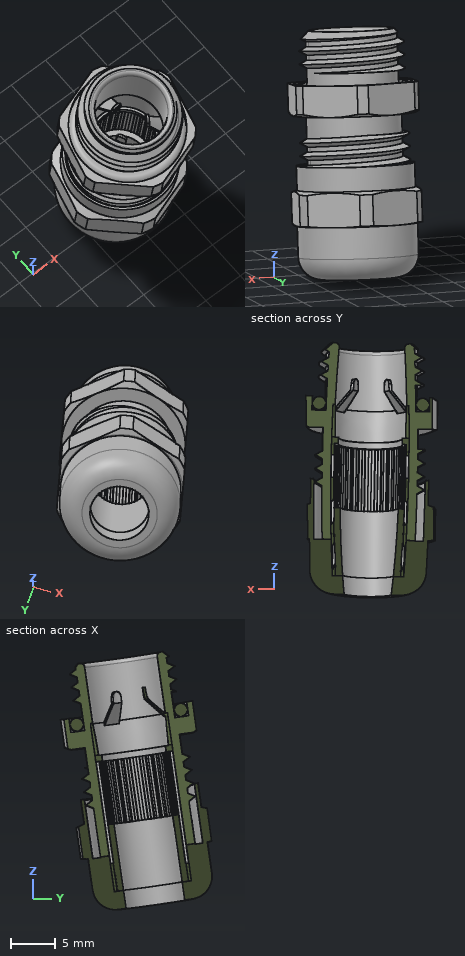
import cadquery as cq
import math

tilt_toward_front = 8.1
tilt_toward_left = 1.0

rim_top = 14.1
upper_thread_end = 9.42
hex_top = 8.1
hex_bottom = 4.53
lower_thread_end = 2.3
cap_top = -1.17
nut_top = -3.92
nut_bottom = -7.95
cap_bottom = -14.1
ring_top = 7.15
cage_top = 3.5
seal_top = -4.4
housing_bottom = -7.95
cap_floor = -12.0

across_flats = 14.0
corner_azimuth = 18.0
housing_corner_diameter = 15.5
cap_corner_diameter = 15.4
housing_chamfer_height = 0.35
cap_bottom_chamfer_height = 0.15
cap_top_chamfer_height = 0.35

upper_root_diameter = 10.38
upper_crest_diameter = 12.0
lower_root_diameter = 10.85
lower_crest_diameter = 12.5
thread_pitch = 1.5
flank_angle = 30.0
upper_thread_start = 8.9
lower_thread_start = -3.0
thread_root_overlap = 0.1
rim_diameter = 9.68
rim_rounding_diameter = 9.27
bore_diameter = 8.28
counterbore_diameter = 8.75

groove_diameter = 13.43
oring_recess = 0.05
oring_section_diameter = (groove_diameter - upper_root_diameter) / 2

cap_diameter = 13.65
cap_collar_diameter = 13.43
cap_mouth_diameter = 12.8
cap_bore_diameter = 12.55
cap_hole_diameter = 6.67
cap_rounding = 2.57

ring_bottom_bore_diameter = 7.95
finger_count = 3
finger_azimuth = 90.0
finger_thickness = 0.32
finger_bend_radius = 2.43
finger_bend_level = 9.07
finger_tip_radius = 2.3
finger_tip_level = 10.38
finger_root_width = 2.1
finger_root_height = 0.65
finger_tip_width = 1.05

cage_lip_diameter = 7.25
cage_lip_height = 0.73
cage_bore_diameter = 8.1
slot_count = 36
slot_width = 0.35

insert_bore_diameter = 6.67


def cylinder(diameter, bottom, top):
    """Upright cylinder between two levels."""
    return cq.Workplane("XY").workplane(offset=bottom).circle(diameter / 2).extrude(top - bottom)


def revolved(outline):
    """Body turned about the axis from (radius, level) points."""
    return cq.Workplane("XZ").polyline(outline).close().revolve(360, (0, 0), (0, 1))


def hexagon(bottom, top, corner_diameter, bottom_chamfer_height, top_chamfer_height, top_rim_diameter):
    """Hexagon with turned corners; its bottom and top slope as cones out to the corners.

    The bottom cone starts at the flats' inscribed circle and the top cone at the given rim.
    """
    flat_radius = across_flats / 2
    corner_radius = corner_diameter / 2
    turned = revolved([
        (0, bottom),
        (flat_radius, bottom),
        (corner_radius, bottom + bottom_chamfer_height),
        (corner_radius, top - top_chamfer_height),
        (top_rim_diameter / 2, top),
        (0, top),
    ])
    sharp_diameter = across_flats / math.cos(math.pi / 6)
    prism = cq.Workplane("XY").workplane(offset=bottom).polygon(6, sharp_diameter).extrude(top - bottom)
    return prism.rotate((0, 0, 0), (0, 0, 1), corner_azimuth).intersect(turned)


def thread_ridge(root_diameter, crest_diameter, start, length):
    """Right-handed V-shaped ridge whose crest stands at the start level on the +X side."""
    inner = root_diameter / 2 - thread_root_overlap
    crest = crest_diameter / 2
    half_width = (crest - inner) * math.tan(math.radians(flank_angle))
    path = cq.Wire.makeHelix(thread_pitch, length, inner).translate(cq.Vector(0, 0, start))
    section = [(inner, start - half_width), (crest, start), (inner, start + half_width)]
    return cq.Workplane("XZ").polyline(section).close().sweep(cq.Workplane(path), isFrenet=True)


def make_housing():
    shank = cylinder(upper_root_diameter, hex_bottom, rim_top)
    sleeve = cylinder(lower_root_diameter, housing_bottom, hex_bottom)
    hex_collar = hexagon(
        hex_bottom, hex_top, housing_corner_diameter, housing_chamfer_height, 0, groove_diameter
    )
    housing = shank.union(sleeve).union(hex_collar)

    rim_radius = rim_diameter / 2
    thread_length = rim_top - upper_thread_end
    upper_limit = revolved([
        (0, upper_thread_end),
        (rim_radius + thread_length, upper_thread_end),
        (rim_radius, rim_top),
        (0, rim_top),
    ])
    upper_ridge = thread_ridge(upper_root_diameter, upper_crest_diameter, upper_thread_start, 4 * thread_pitch)
    rim_chamfer = cylinder(cap_diameter, upper_thread_end, rim_top).cut(upper_limit)
    housing = housing.union(upper_ridge.intersect(upper_limit)).cut(rim_chamfer)

    lower_ridge = thread_ridge(lower_root_diameter, lower_crest_diameter, lower_thread_start, 4 * thread_pitch)
    lower_limit = cylinder(cap_diameter, housing_bottom, lower_thread_end)
    housing = housing.union(lower_ridge.intersect(lower_limit))

    housing = housing.cut(cylinder(bore_diameter, ring_top, rim_top))
    housing = housing.cut(cylinder(counterbore_diameter, housing_bottom, ring_top))
    rounding = (rim_rounding_diameter - bore_diameter) / 2
    bell = (
        cq.Workplane("XZ")
        .moveTo(0, rim_top)
        .lineTo(rim_rounding_diameter / 2, rim_top)
        .radiusArc((bore_diameter / 2, rim_top - rounding), -rounding)
        .lineTo(0, rim_top - rounding)
        .close()
        .revolve(360, (0, 0), (0, 1))
    )
    housing = housing.cut(bell)

    groove_bottom = hex_top - oring_recess - oring_section_diameter
    groove = cylinder(groove_diameter, groove_bottom, hex_top)
    return housing.cut(groove.cut(cylinder(upper_root_diameter, hex_bottom, hex_top)))


def make_oring():
    section_radius = oring_section_diameter / 2
    ring_radius = groove_diameter / 2 - section_radius
    return (
        cq.Workplane("XZ")
        .center(ring_radius, hex_top - oring_recess - section_radius)
        .circle(section_radius)
        .revolve(360, (-ring_radius, 0), (-ring_radius, 1))
    )


def make_cap():
    cap = cylinder(cap_diameter, cap_bottom, nut_bottom).faces("<Z").edges().fillet(cap_rounding)
    nut = hexagon(
        nut_bottom,
        nut_top,
        cap_corner_diameter,
        cap_bottom_chamfer_height,
        cap_top_chamfer_height,
        cap_collar_diameter,
    )
    cap = cap.union(nut).union(cylinder(cap_collar_diameter, nut_top, cap_top))
    cap = cap.cut(cylinder(cap_hole_diameter, cap_bottom, cap_floor))
    cap = cap.cut(cylinder(counterbore_diameter, cap_floor, housing_bottom))
    cap = cap.cut(cylinder(cap_bore_diameter, housing_bottom, cap_top))
    mouth_chamfer = (cap_mouth_diameter - cap_bore_diameter) / 2
    mouth_radius = cap_mouth_diameter / 2
    mouth = revolved([
        (0, cap_top),
        (mouth_radius, cap_top),
        (mouth_radius - mouth_chamfer, cap_top - mouth_chamfer),
        (0, cap_top - mouth_chamfer),
    ])
    return cap.cut(mouth)


def make_finger(azimuth):
    """Tongue that leans inward from the ring's top, then bends up to a round, narrower tip."""
    root_radius = counterbore_diameter / 2
    root_bottom = ring_top - finger_root_height
    front_radius = finger_tip_radius - finger_thickness
    leaf = revolved([
        (root_radius, root_bottom),
        (root_radius, ring_top),
        (bore_diameter / 2, ring_top),
        (finger_bend_radius, finger_bend_level),
        (finger_tip_radius, finger_tip_level),
        (front_radius, finger_tip_level),
        (finger_bend_radius - finger_thickness, finger_bend_level),
    ])
    plan = (
        cq.Workplane("XY")
        .workplane(offset=root_bottom)
        .polyline([
            (front_radius, -finger_tip_width / 2),
            (root_radius, -finger_root_width / 2),
            (root_radius, finger_root_width / 2),
            (front_radius, finger_tip_width / 2),
        ])
        .close()
        .extrude(finger_tip_level - root_bottom)
    )
    tip_half_width = finger_tip_width / 2
    shoulder_level = finger_tip_level - tip_half_width
    tip_slab = (
        cq.Workplane("YZ")
        .moveTo(-finger_root_width / 2, root_bottom)
        .lineTo(-finger_root_width / 2, shoulder_level)
        .lineTo(-tip_half_width, shoulder_level)
        .threePointArc((0, finger_tip_level), (tip_half_width, shoulder_level))
        .lineTo(finger_root_width / 2, shoulder_level)
        .lineTo(finger_root_width / 2, root_bottom)
        .close()
        .extrude(root_radius)
    )
    tongue = leaf.intersect(plan).intersect(tip_slab)
    return tongue.rotate((0, 0, 0), (0, 0, 1), azimuth)


def make_contact_ring():
    outer_radius = counterbore_diameter / 2
    ring = revolved([
        (bore_diameter / 2, ring_top),
        (outer_radius, ring_top),
        (outer_radius, cage_top),
        (ring_bottom_bore_diameter / 2, cage_top),
    ])
    for index in range(finger_count):
        ring = ring.union(make_finger(finger_azimuth + index * 360 / finger_count))
    return ring


def make_cage():
    """Sleeve with an inward lip at its top and lengthwise slots all round below the lip."""
    lip_bottom = cage_top - cage_lip_height
    cage = cylinder(counterbore_diameter, cap_floor, cage_top)
    cage = cage.cut(cylinder(cage_lip_diameter, lip_bottom, cage_top))
    cage = cage.cut(cylinder(cage_bore_diameter, cap_floor, lip_bottom))
    slot_length = lip_bottom - cap_floor
    slot = cq.Workplane("XY").box(cap_diameter / 2, slot_width, slot_length, centered=(False, True, False))
    slot = slot.translate((0, 0, cap_floor))
    for index in range(slot_count):
        cage = cage.cut(slot.rotate((0, 0, 0), (0, 0, 1), index * 360 / slot_count))
    return cage


def make_insert():
    insert = cylinder(cage_bore_diameter, cap_floor, seal_top)
    return insert.cut(cylinder(insert_bore_diameter, cap_floor, seal_top))


def tilted(body):
    """Lean an upright body into the gland's slanted position."""
    leaning = body.rotate((0, 0, 0), (1, 0, 0), tilt_toward_front)
    return leaning.rotate((0, 0, 0), (0, 1, 0), -tilt_toward_left)


housing = tilted(make_housing())
oring = tilted(make_oring())
cap = tilted(make_cap())
contact_ring = tilted(make_contact_ring())
cage = tilted(make_cage())
insert = tilted(make_insert())

result = cq.Compound.makeCompound(
    [housing.val(), oring.val(), cap.val(), contact_ring.val(), cage.val(), insert.val()]
)